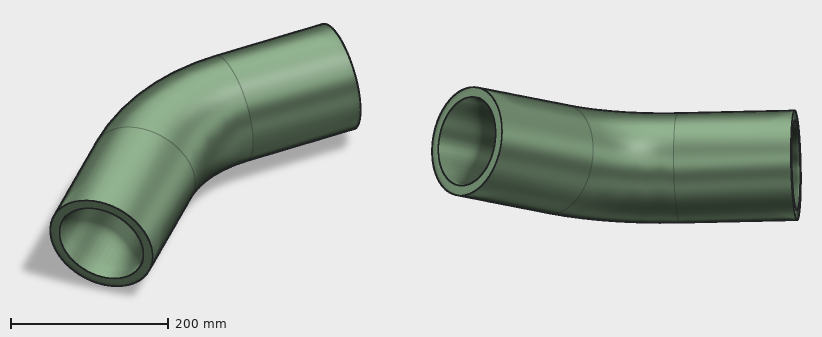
import cadquery as cq
import math

overall_length = 454.0
outer_diameter = 140.0
wall = 12.5
bend_radius = 210.0
bend_angle = 45.0

outer_radius = outer_diameter / 2
inner_radius = outer_radius - wall
sin_bend = math.sin(math.radians(bend_angle))
cos_bend = math.cos(math.radians(bend_angle))

leg_length = (overall_length - (bend_radius * sin_bend + outer_radius * sin_bend)) / (1 + cos_bend)


def bend_point(angle):
    """Point on the bend centreline after turning by the given angle in degrees."""
    turn = math.radians(angle)
    return (
        bend_radius * (1 - math.cos(turn)),
        leg_length + bend_radius * math.sin(turn),
    )


bend_end = bend_point(bend_angle)
pipe_end = (
    bend_end[0] + leg_length * sin_bend,
    bend_end[1] + leg_length * cos_bend,
)
centreline = (
    cq.Workplane("XY")
    .lineTo(0, leg_length)
    .threePointArc(bend_point(bend_angle / 2), bend_end)
    .lineTo(*pipe_end)
)

result = (
    cq.Workplane("XZ")
    .circle(outer_radius)
    .circle(inner_radius)
    .sweep(centreline)
)